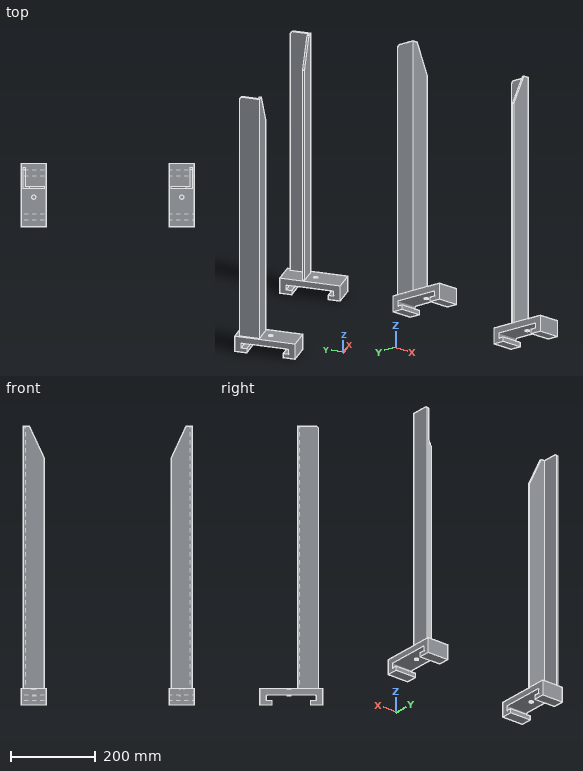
import cadquery as cq

TOTAL_WIDTH = 410.0
TOTAL_HEIGHT = 659.5

SHOE_WIDTH = 60.0
SHOE_DEPTH = 150.0
SHOE_HEIGHT = 39.5
PLATE_THICKNESS = 16.0
LIP_THICKNESS = 11.0
SLOT_DEPTH = 118.0
MOUTH_DEPTH = 90.0
SLOT_CORNER_RADIUS = 2.5

SCREW_DIAMETER = 10.0
SCREW_Y = -5.0
SCREW_RECESS = 3.0
SCREW_PROTRUSION = 2.0

BLADE_SIZE = 50.0
BLADE_THICKNESS = 5.0
BLADE_BACK_SETBACK = 10.0
BLADE_TIP_WIDTH = 15.0
BLADE_TAPER_HEIGHT = 75.0
BLADE_CORNER_CHAMFER = 5.0

STAND_X = (TOTAL_WIDTH - SHOE_WIDTH) / 2
BLADE_HEIGHT = TOTAL_HEIGHT - SHOE_HEIGHT
BLADE_BACK_Y = SHOE_DEPTH / 2 - BLADE_BACK_SETBACK
BLADE_FRONT_Y = BLADE_BACK_Y - BLADE_SIZE


def box_above(size_x, size_y, size_z, center_y, base_z):
    """Box centred on X = 0, standing on base_z."""
    return (
        cq.Workplane("XY", origin=(0, center_y, base_z))
        .box(size_x, size_y, size_z, centered=(True, True, False))
    )


def make_shoe():
    """Block with a wide slot under its top plate, open below between two lips."""
    shoe = box_above(SHOE_WIDTH, SHOE_DEPTH, SHOE_HEIGHT, 0, 0)
    mouth = box_above(SHOE_WIDTH, MOUTH_DEPTH, LIP_THICKNESS, 0, 0)
    slot_height = SHOE_HEIGHT - PLATE_THICKNESS - LIP_THICKNESS
    slot = (
        box_above(SHOE_WIDTH, SLOT_DEPTH, slot_height, 0, LIP_THICKNESS)
        .edges(">Z and |X")
        .fillet(SLOT_CORNER_RADIUS)
    )
    return shoe.cut(mouth).cut(slot)


def screw_cylinder(bottom_z, top_z):
    """Upright cylinder on the screw axis, between two heights."""
    return (
        cq.Workplane("XY", origin=(0, SCREW_Y, bottom_z))
        .circle(SCREW_DIAMETER / 2)
        .extrude(top_z - bottom_z)
    )


def make_front_flange():
    """Flange facing -Y, narrowing towards the blade corner at the top."""
    corner_x = -BLADE_SIZE / 2
    return (
        cq.Workplane("XZ", origin=(0, BLADE_FRONT_Y, SHOE_HEIGHT))
        .moveTo(corner_x, 0)
        .lineTo(-corner_x, 0)
        .lineTo(-corner_x, BLADE_HEIGHT - BLADE_TAPER_HEIGHT)
        .lineTo(corner_x + BLADE_TIP_WIDTH, BLADE_HEIGHT)
        .lineTo(corner_x, BLADE_HEIGHT)
        .close()
        .extrude(-BLADE_THICKNESS)
    )


def make_side_flange():
    """Flange facing -X, with its top back corner chamfered."""
    return (
        cq.Workplane("YZ", origin=(-BLADE_SIZE / 2, 0, SHOE_HEIGHT))
        .moveTo(BLADE_FRONT_Y, 0)
        .lineTo(BLADE_BACK_Y, 0)
        .lineTo(BLADE_BACK_Y, BLADE_HEIGHT - BLADE_CORNER_CHAMFER)
        .lineTo(BLADE_BACK_Y - BLADE_CORNER_CHAMFER, BLADE_HEIGHT)
        .lineTo(BLADE_FRONT_Y, BLADE_HEIGHT)
        .close()
        .extrude(BLADE_THICKNESS)
    )


def make_left_stand():
    """Shoe, screw and blade as one solid, centred on X = 0."""
    plate_bottom = SHOE_HEIGHT - PLATE_THICKNESS
    screw_recess = screw_cylinder(SHOE_HEIGHT - SCREW_RECESS, SHOE_HEIGHT)
    screw_tip = screw_cylinder(plate_bottom - SCREW_PROTRUSION, plate_bottom)
    return (
        make_shoe()
        .cut(screw_recess)
        .union(screw_tip)
        .union(make_front_flange())
        .union(make_side_flange())
    )


left_stand = make_left_stand().translate((-STAND_X, 0, 0))
right_stand = left_stand.mirror("YZ")

result = cq.Compound.makeCompound([left_stand.val(), right_stand.val()])